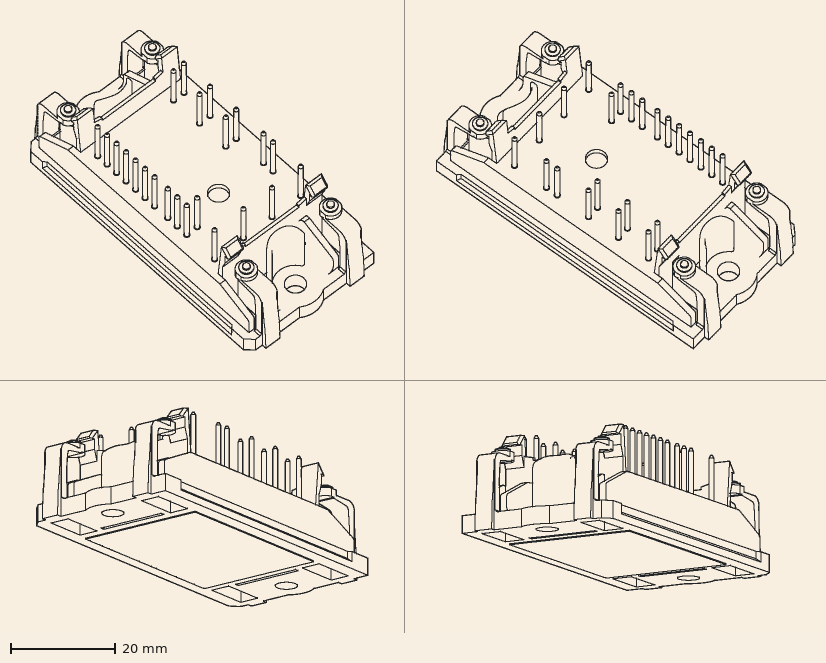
import cadquery as cq
import math

PAD_HEIGHT = 0.2
BASE_TOP = 3.7
BODY_TOP = 11.15
WALL_TOP = 15.6
PIN_TOP = 21.25

BASE_LENGTH = 63.95
BASE_WIDTH = 32.5
BASE_CORNER = 1.65
PAD_LENGTH = 37.4
PAD_WIDTH = 26.5
LUG_X = 27.4
LUG_RADIUS = 5.55
MOUNT_HOLE = 4.3
RECESS_LENGTH = 54.0
RECESS_FLOOR = 1.65
RECESS_DEPTH = 0.65
RECESS_RISE = 0.6

BODY_LENGTH = 59.85
BODY_WIDTH = 28.85
BODY_FLAT = 43.3
BODY_EDGE = 7.4
BODY_EDGE_RADIUS = 0.8
RIB_INNER_Y = 7.5
RIB_FILLET = 1.2
WALL_CORNER_RADIUS = 0.6
SLOT_HALF_WIDTH = 7.25
VENT_DIAMETER = 4.3
VENT_DEPTH = 1.2
VENT_X = 5.5

WALL_X = 20.8
WALL_HALF_WIDTH = 13.0
HOOK_INNER_Y = 8.9
ARM_Y = (WALL_HALF_WIDTH + HOOK_INNER_Y) / 2
HOOK_TOP = 20.65
HOOK_TIP_X = 22.65
HOOK_TIP_BOTTOM = 18.6
HOOK_TIP_TOP = 19.0
HOOK_SHANK_X = 21.6
HOOK_SHANK_BOTTOM = 16.55
HOOK_ROOT_TOP = 14.4
HOOK_CREST_OUTER_X = 21.25
HOOK_CREST_INNER_X = 20.5
WALL_INNER_X = 19.6
HOOK_BEVEL = 0.5
GUSSET_RUN = 2.0
GUSSET_RISE = 1.0
GUSSET_STEP = 0.5

ARM_X = BASE_LENGTH / 2
ARM_BEND_RUN = 2.0
ARM_BEND_DROP = 1.6
ARM_BEND_RADIUS = 1.85
ARM_INNER_RADIUS = 0.85
ARM_INNER_X = 30.0
ARM_INNER_Z = 13.4
ARM_UNDER_X = 29.25
ARM_UNDER_Z = 14.25
ARM_TIP_BOTTOM = 14.8
ARM_TAPER_START = 10.55
ARM_FOOT_X = 30.3
ARM_FLARE = 0.4
OVERALL_LENGTH = 66.0
BACK_RIB_WIDTH = 3.7
BACK_RIB_STEP_X = 32.75
BACK_RIB_STEP_Z = 6.3
BACK_RIB_STEP_DEPTH = 0.1
BACK_RIB_STEP_RISE = 0.45
BOSS_X = 25.4
BOSS_DIAMETER = 4.35
BOSS_BOTTOM = 15.0
BOSS_TOP = 16.6
COLLAR_BOTTOM_DIAMETER = 2.65
COLLAR_DIAMETER = 3.0
COLLAR_CONE = 0.45
COLLAR_TOP = 17.2
STUD_DIAMETER = 1.5
STUD_TOP = 17.6

SHROUD_MID_RADIUS = 5.0
SHROUD_THICKNESS = 1.05
SHROUD_HALF_ANGLE = 56.5
SHROUD_CORNER = 3.25
SHROUD_CLEARANCE = 0.05
SHROUD_RIM_FILLET = 0.25

PIN_DIAMETER = 1.0
PIN_SEAT_DIAMETER = 1.2
PIN_SEAT_HEIGHT = 0.1
PIN_TIP = 0.6
PIN_TIP_DIAMETER = 0.4
PIN_ROW_Y = 11.2
PIN_FIRST_X = -16.7
PIN_LAST_X = 16.6
PIN_PITCH = 2.7
PIN_WIDE_PITCH = 7.45
PIN_RIGHT_COLUMN = 8.7
FRONT_LEFT_PINS = 7
FRONT_RIGHT_PINS = 3
REAR_PIN_PAIRS = 3
END_COLUMN_PINS = 4

OVERLAP = 0.3


def box(x0, x1, y0, y1, z0, z1):
    """Box given by its limits."""
    return cq.Workplane("XY").box(x1 - x0, y1 - y0, z1 - z0, centered=False).translate((x0, y0, z0))


def cylinder(x, y, z0, z1, diameter):
    return cq.Workplane("XY", origin=(x, y, z0)).circle(diameter / 2).extrude(z1 - z0)


def along_y(profile, y0, y1):
    """Sweep a closed XZ profile from y0 to y1."""
    return profile.extrude(y0 - y1).translate((0, y0, 0))


def xz_polygon(points):
    return cq.Workplane("XZ").polyline(points).close()


def yz_polygon(points):
    return cq.Workplane("YZ").polyline(points).close()


def mirrored(solid, plane):
    return solid.union(solid.mirror(plane))


def base_plate():
    height = BASE_TOP - PAD_HEIGHT
    plate = cq.Workplane("XY").box(BASE_LENGTH, BASE_WIDTH, height, centered=(True, True, False))
    plate = plate.edges("|Z and <Y").chamfer(BASE_CORNER).translate((0, 0, PAD_HEIGHT))
    for side in (-1, 1):
        plate = plate.union(cylinder(side * LUG_X, 0, PAD_HEIGHT, BASE_TOP, 2 * LUG_RADIUS))
    pad = cq.Workplane("XY").box(PAD_LENGTH, PAD_WIDTH, PAD_HEIGHT + OVERLAP, centered=(True, True, False))
    recess = side_recess()
    return plate.union(pad).cut(recess).cut(recess.mirror("XZ"))


def side_recess():
    """Recess in the +Y side with bevelled ends and floor, open at the base top."""
    outer_length = RECESS_LENGTH
    inner_length = RECESS_LENGTH - 2 * RECESS_DEPTH
    side_y = BASE_WIDTH / 2
    inner_y = side_y - RECESS_DEPTH
    outline = [
        (-outer_length / 2, side_y),
        (-inner_length / 2, inner_y),
        (inner_length / 2, inner_y),
        (outer_length / 2, side_y),
    ]
    recess = cq.Workplane("XY").polyline(outline).close().extrude(BASE_TOP)
    section = yz_polygon([
        (side_y, RECESS_FLOOR),
        (side_y, BASE_TOP),
        (inner_y, BASE_TOP),
        (inner_y, RECESS_FLOOR + RECESS_RISE),
    ])
    return recess.intersect(section.extrude(outer_length / 2, both=True))


def body():
    end_x = BODY_LENGTH / 2
    flat_x = BODY_FLAT / 2
    outline = xz_polygon([
        (-end_x, PAD_HEIGHT),
        (-end_x, BODY_EDGE),
        (-flat_x, BODY_TOP),
        (flat_x, BODY_TOP),
        (end_x, BODY_EDGE),
        (end_x, PAD_HEIGHT),
    ])
    half_width = BODY_WIDTH / 2
    block = along_y(outline, -half_width, half_width)
    ends = cq.selectors.BoxSelector(
        (-end_x - OVERLAP, -half_width, BODY_EDGE - OVERLAP),
        (end_x + OVERLAP, half_width, BODY_EDGE + OVERLAP),
    )
    block = block.edges("|Y").edges(ends).fillet(BODY_EDGE_RADIUS)
    bay = end_bay()
    block = block.cut(bay).cut(bay.mirror("YZ"))
    return block.cut(cylinder(VENT_X, 0, BODY_TOP - VENT_DEPTH, BODY_TOP, VENT_DIAMETER))


def end_bay():
    """Open bay at the -X end, between the two inner ribs, with filleted feet."""
    flat_x = BODY_FLAT / 2
    arc_y = RIB_INNER_Y - RIB_FILLET
    arc_z = BASE_TOP + RIB_FILLET
    mid_y = arc_y + RIB_FILLET * math.sin(math.pi / 4)
    mid_z = arc_z - RIB_FILLET * math.cos(math.pi / 4)
    bay = (
        cq.Workplane("YZ", origin=(-ARM_X, 0, 0))
        .moveTo(-arc_y, BASE_TOP)
        .lineTo(arc_y, BASE_TOP)
        .threePointArc((mid_y, mid_z), (RIB_INNER_Y, arc_z))
        .lineTo(RIB_INNER_Y, BODY_TOP)
        .lineTo(-RIB_INNER_Y, BODY_TOP)
        .lineTo(-RIB_INNER_Y, arc_z)
        .threePointArc((-mid_y, mid_z), (-arc_y, BASE_TOP))
        .close()
        .extrude(ARM_X - flat_x)
    )
    gap = box(-flat_x - OVERLAP, -WALL_X, -RIB_INNER_Y, RIB_INNER_Y, BASE_TOP, BODY_TOP)
    gap = gap.edges("|Z and >X").fillet(WALL_CORNER_RADIUS)
    return bay.union(gap)


def end_openings():
    """Through openings at the -X end: the wall slot and a pocket under each arm."""
    slot = box(-BODY_FLAT / 2, -WALL_X, -SLOT_HALF_WIDTH, SLOT_HALF_WIDTH, 0, BASE_TOP)
    pocket = box(-BODY_LENGTH / 2, -WALL_X, HOOK_INNER_Y, WALL_HALF_WIDTH, 0, BODY_TOP)
    screw_hole = cylinder(-LUG_X, 0, 0, BASE_TOP, MOUNT_HOLE)
    return slot.union(mirrored(pocket, "XZ")).union(screw_hole)


def hook_profile():
    """Leaning latch profile: wall root, slanted shank and outward lip."""
    return xz_polygon([
        (-WALL_X, BODY_TOP - OVERLAP),
        (-WALL_X, HOOK_ROOT_TOP),
        (-HOOK_SHANK_X, HOOK_SHANK_BOTTOM),
        (-HOOK_SHANK_X, HOOK_TIP_BOTTOM),
        (-HOOK_TIP_X, HOOK_TIP_BOTTOM),
        (-HOOK_TIP_X, HOOK_TIP_TOP),
        (-HOOK_CREST_OUTER_X, HOOK_TOP),
        (-HOOK_CREST_INNER_X, HOOK_TOP),
        (-WALL_INNER_X, BODY_TOP),
        (-WALL_INNER_X, BODY_TOP - OVERLAP),
    ])


def end_wall():
    """Wall at the -X end with its two hooks."""
    full = along_y(hook_profile(), -WALL_HALF_WIDTH, WALL_HALF_WIDTH)
    gusset_y = HOOK_INNER_Y - GUSSET_RUN
    gusset_z = WALL_TOP + GUSSET_RISE
    wall_section = yz_polygon([
        (-HOOK_INNER_Y, 0),
        (HOOK_INNER_Y, 0),
        (HOOK_INNER_Y, gusset_z),
        (gusset_y, WALL_TOP + GUSSET_STEP),
        (gusset_y, WALL_TOP),
        (-gusset_y, WALL_TOP),
        (-gusset_y, WALL_TOP + GUSSET_STEP),
        (-HOOK_INNER_Y, gusset_z),
    ])
    straight = box(-WALL_X, 0, -HOOK_INNER_Y, HOOK_INNER_Y, 0, PIN_TOP)
    wall = full.intersect(wall_section.extrude(-BASE_LENGTH)).intersect(straight)
    hook = along_y(hook_profile(), HOOK_INNER_Y, WALL_HALF_WIDTH)
    lip_slope = cq.selectors.BoxSelector(
        (-HOOK_TIP_X, 0, HOOK_TIP_TOP), (-HOOK_CREST_OUTER_X, BASE_WIDTH, HOOK_TOP)
    )
    hook = hook.edges(lip_slope).edges("not |Y").chamfer(HOOK_BEVEL)
    return wall.union(mirrored(hook, "XZ"))


def arm():
    """Bent spring arm at the -X, +Y corner with its flared foot, back rib and boss."""
    strip = (
        cq.Workplane("XZ")
        .moveTo(-ARM_X, PAD_HEIGHT)
        .lineTo(-ARM_X, WALL_TOP - ARM_BEND_DROP)
        .radiusArc((-ARM_X + ARM_BEND_RUN, WALL_TOP), ARM_BEND_RADIUS)
        .lineTo(-BOSS_X, WALL_TOP)
        .lineTo(-BOSS_X, ARM_TIP_BOTTOM)
        .lineTo(-ARM_UNDER_X, ARM_UNDER_Z)
        .radiusArc((-ARM_INNER_X, ARM_INNER_Z), -ARM_INNER_RADIUS)
        .lineTo(-ARM_FOOT_X, ARM_TAPER_START)
        .lineTo(-ARM_FOOT_X, PAD_HEIGHT)
        .close()
    )
    strip = along_y(strip, HOOK_INNER_Y, WALL_HALF_WIDTH)
    flare = yz_polygon([
        (HOOK_INNER_Y - ARM_FLARE, BASE_TOP),
        (HOOK_INNER_Y, BASE_TOP + ARM_FLARE),
        (WALL_HALF_WIDTH, BASE_TOP + ARM_FLARE),
        (WALL_HALF_WIDTH + ARM_FLARE, BASE_TOP),
    ])
    flare = flare.extrude(ARM_X - ARM_FOOT_X).translate((-ARM_X, 0, 0))
    back_rib = xz_polygon([
        (-ARM_X, PAD_HEIGHT),
        (-OVERALL_LENGTH / 2, PAD_HEIGHT),
        (-BACK_RIB_STEP_X, BACK_RIB_STEP_Z),
        (-BACK_RIB_STEP_X + BACK_RIB_STEP_DEPTH, BACK_RIB_STEP_Z + BACK_RIB_STEP_RISE),
        (-ARM_X, WALL_TOP - ARM_BEND_DROP),
    ])
    back_rib = along_y(back_rib, ARM_Y - BACK_RIB_WIDTH / 2, ARM_Y + BACK_RIB_WIDTH / 2)
    return strip.union(flare).union(back_rib).union(boss())


def boss():
    """Round arm tip trimmed to the arm width, carrying a flared collar and a stud."""
    tip = cylinder(-BOSS_X, ARM_Y, BOSS_BOTTOM, BOSS_TOP, BOSS_DIAMETER)
    tip = tip.intersect(box(-ARM_X, 0, HOOK_INNER_Y, WALL_HALF_WIDTH, 0, PIN_TOP))
    collar = (
        cq.Workplane("XZ", origin=(-BOSS_X, ARM_Y, 0))
        .moveTo(0, BOSS_TOP - OVERLAP)
        .lineTo(COLLAR_BOTTOM_DIAMETER / 2, BOSS_TOP - OVERLAP)
        .lineTo(COLLAR_BOTTOM_DIAMETER / 2, BOSS_TOP)
        .lineTo(COLLAR_DIAMETER / 2, BOSS_TOP + COLLAR_CONE)
        .lineTo(COLLAR_DIAMETER / 2, COLLAR_TOP)
        .lineTo(STUD_DIAMETER / 2, COLLAR_TOP)
        .lineTo(STUD_DIAMETER / 2, STUD_TOP)
        .lineTo(0, STUD_TOP)
        .close()
        .revolve(360, (0, 0, 0), (0, 1, 0))
    )
    return tip.union(collar)


def shroud():
    """Curved guard around the -X mounting hole with rounded ends and an arched, filleted rim."""
    half_thickness = SHROUD_THICKNESS / 2
    inner = SHROUD_MID_RADIUS - half_thickness
    outer = SHROUD_MID_RADIUS + half_thickness
    angle = math.radians(SHROUD_HALF_ANGLE)

    def polar(radius, direction):
        return radius * math.cos(direction), radius * math.sin(direction)

    foot = BASE_TOP - OVERLAP
    sheet = (
        cq.Workplane("XY", origin=(-LUG_X, 0, foot))
        .moveTo(*polar(outer, -angle))
        .threePointArc((outer, 0), polar(outer, angle))
        .radiusArc(polar(inner, angle), -half_thickness)
        .threePointArc((inner, 0), polar(inner, -angle))
        .radiusArc(polar(outer, -angle), -half_thickness)
        .close()
        .extrude(WALL_TOP - foot)
    )
    half_width = SHROUD_MID_RADIUS * math.sin(angle) + half_thickness + SHROUD_CLEARANCE
    arch = box(-LUG_X, -WALL_X, -half_width, half_width, foot, WALL_TOP)
    arch = arch.edges("|X and >Z").fillet(SHROUD_CORNER)
    guard = sheet.intersect(arch)
    rim = cq.selectors.BoxSelector(
        (-LUG_X, -half_width, WALL_TOP - SHROUD_CORNER), (-WALL_X, half_width, WALL_TOP + OVERLAP)
    )
    return guard.edges(rim).fillet(SHROUD_RIM_FILLET)


def pin(x, y):
    tip_start = PIN_TOP - PIN_TIP
    shank = cylinder(x, y, BODY_TOP - OVERLAP, tip_start, PIN_DIAMETER)
    tip = (
        cq.Workplane("XY", origin=(x, y, tip_start))
        .circle(PIN_DIAMETER / 2)
        .workplane(offset=PIN_TIP)
        .circle(PIN_TIP_DIAMETER / 2)
        .loft()
    )
    seat = cylinder(x, y, BODY_TOP - OVERLAP, BODY_TOP + PIN_SEAT_HEIGHT, PIN_SEAT_DIAMETER)
    return shank.union(tip).union(seat)


def pin_positions():
    inner_row_y = PIN_ROW_Y - PIN_PITCH
    front_row = [PIN_FIRST_X + i * PIN_PITCH for i in range(FRONT_LEFT_PINS)]
    front_row += [PIN_RIGHT_COLUMN - i * PIN_PITCH for i in range(FRONT_RIGHT_PINS)]
    positions = [(x, -PIN_ROW_Y) for x in front_row]
    positions.append((PIN_RIGHT_COLUMN, -inner_row_y))
    for i in range(REAR_PIN_PAIRS):
        x = PIN_FIRST_X + i * PIN_WIDE_PITCH
        positions += [(x, PIN_ROW_Y), (x, inner_row_y)]
    positions += [(PIN_RIGHT_COLUMN - PIN_PITCH, PIN_ROW_Y), (PIN_RIGHT_COLUMN, PIN_ROW_Y)]
    end_pitch = 2 * PIN_ROW_Y / (END_COLUMN_PINS - 1)
    positions += [(PIN_LAST_X, PIN_ROW_Y - i * end_pitch) for i in range(END_COLUMN_PINS)]
    return positions


openings = mirrored(end_openings(), "YZ")
end_details = end_wall().union(mirrored(arm(), "XZ")).union(shroud())

result = base_plate().union(body()).cut(openings)
result = result.union(end_details).union(end_details.mirror("YZ"))
for x, y in pin_positions():
    result = result.union(pin(x, y))